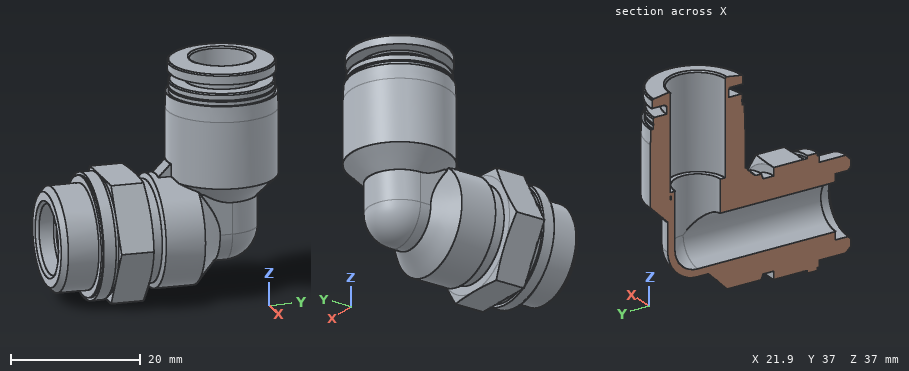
import cadquery as cq
import math


elbow_radius = 5.55
flow_radius = 4.15
cheek_reach = 6.65

body_radius = 8.77
body_top_radius = 8.65
body_cone_end = 8.25
body_cone_start = body_cone_end - (body_radius - elbow_radius)
body_taper_start = 19.0
body_top = 21.5
ring_radius = 8.25
ring_groove_depth = 0.1
ring_groove_bottom = 22.13
ring_groove_top = 22.35
ring_top = 23.42
ring_chamfer = 0.22
neck_radius = 5.77
collar_radius = 8.4
collar_bottom = 24.95
collar_edge_top = 26.35
collar_edge_chamfer = 0.22
collar_flare = 0.3
port_top = 27.0
tube_radius = 5.0
tube_chamfer = 0.25
tube_stop = 10.0

shell_radius = 9.0
shell_cone_end = 5.4
shell_cone_start = shell_cone_end - (shell_radius - elbow_radius)
shell_end = 12.1
shell_end_taper = 0.37
swivel_radius = 8.1
hex_start = 13.95
hex_end = 19.55
hex_across_flats = 19.0
hex_across_corners = hex_across_flats / math.cos(math.pi / 6)
hex_chamfer_height = 0.37
flange_radius = hex_across_flats / 2
seal_radius = 10.0
seal_start = 20.13
seal_end = 22.1
flange_end = 22.4
thread_radius = 8.32
thread_chamfer = 0.9
thread_end = 28.2
socket_radius = 5.55
socket_chamfer = 0.48
socket_depth = 2.8

rib_width = 3.15
rib_height = 10.85
rib_reach = 10.65


def turned(profile):
    """Solid of revolution about Z from (radius, height) points, closed along the axis."""
    points = [(0, profile[0][1])] + profile + [(0, profile[-1][1])]
    return cq.Workplane("XZ").polyline(points).close().revolve(360, (0, 0), (0, 1))


def along_thread(solid):
    """Turn a solid built along +Z so that it points along -Y."""
    return solid.rotate((0, 0, 0), (1, 0, 0), 90)


def tube_port():
    return turned([
        (elbow_radius, 0),
        (elbow_radius, body_cone_start),
        (body_radius, body_cone_end),
        (body_radius, body_taper_start),
        (body_top_radius, body_top),
        (ring_radius, body_top),
        (ring_radius, ring_groove_bottom),
        (ring_radius - ring_groove_depth, ring_groove_bottom),
        (ring_radius - ring_groove_depth, ring_groove_top),
        (ring_radius, ring_groove_top),
        (ring_radius, ring_top - ring_chamfer),
        (ring_radius - ring_chamfer, ring_top),
        (neck_radius, ring_top),
        (neck_radius, collar_bottom - collar_flare),
        (neck_radius + collar_flare, collar_bottom),
        (collar_radius, collar_bottom),
        (collar_radius, collar_edge_top),
        (collar_radius - collar_edge_chamfer, collar_edge_top + collar_edge_chamfer),
        (tube_radius + tube_chamfer, port_top),
    ])


def thread_port():
    return along_thread(turned([
        (elbow_radius, 0),
        (elbow_radius, shell_cone_start),
        (shell_radius, shell_cone_end),
        (shell_radius, shell_end - shell_end_taper),
        (swivel_radius, shell_end),
        (swivel_radius, hex_end),
        (flange_radius, hex_end),
        (flange_radius, seal_start),
        (seal_radius, seal_start),
        (seal_radius, seal_end),
        (flange_radius, seal_end),
        (flange_radius, flange_end),
        (thread_radius, flange_end),
        (thread_radius, thread_end - thread_chamfer),
        (thread_radius - thread_chamfer, thread_end),
    ]))


def hex_nut():
    """Hexagon with corners on +X and -X, its corners rounded off on the elbow side."""
    prism = (
        cq.Workplane("XY")
        .workplane(offset=hex_start)
        .polygon(6, hex_across_corners)
        .extrude(hex_end - hex_start)
    )
    corner_cone = turned([
        (flange_radius, hex_start),
        (hex_across_corners / 2, hex_start + hex_chamfer_height),
        (hex_across_corners / 2, hex_end),
    ])
    return along_thread(prism.intersect(corner_cone))


def pointer_rib():
    """Wedge with a 45 degree sloping face, running back into both ports."""
    slope_bottom = rib_height - (rib_reach - body_radius)
    return (
        cq.Workplane("YZ")
        .polyline([
            (-elbow_radius, slope_bottom),
            (-elbow_radius, rib_height),
            (-body_radius, rib_height),
            (-rib_reach, slope_bottom),
            (-rib_reach, elbow_radius),
            (-elbow_radius, elbow_radius),
        ])
        .close()
        .extrude(rib_width / 2, both=True)
    )


def flow_passage():
    """Bores of both ports, meeting in a ball at the elbow centre."""
    tube_bore = turned([
        (flow_radius, 0),
        (flow_radius, tube_stop),
        (tube_radius, tube_stop),
        (tube_radius, port_top - tube_chamfer),
        (tube_radius + tube_chamfer, port_top),
    ])
    thread_bore = along_thread(turned([
        (flow_radius, 0),
        (flow_radius, thread_end - socket_depth),
        (socket_radius, thread_end - socket_depth),
        (socket_radius, thread_end - socket_chamfer),
        (socket_radius + socket_chamfer, thread_end),
    ]))
    return tube_bore.union(thread_bore).union(cq.Workplane("XY").sphere(flow_radius))


def elbow_core():
    """Ball at the outer bend, with flat cheeks filling the inner corner between the ports."""
    ball = cq.Workplane("XY").sphere(elbow_radius)
    cheeks = cq.Workplane("XY").box(
        2 * elbow_radius, cheek_reach, cheek_reach, centered=(True, False, False)
    )
    return ball.union(cheeks.translate((0, -cheek_reach, 0)))


outside = tube_port().union(thread_port()).union(elbow_core()).union(hex_nut()).union(pointer_rib())
result = outside.cut(flow_passage())